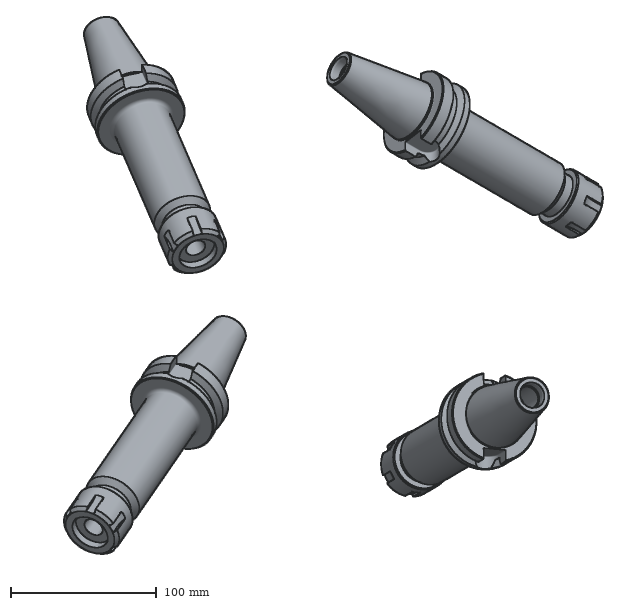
import cadquery as cq
import math

total_length = 223.5

gauge_dia = 44.5
gauge_x = 65.5
taper_ratio = 7 / 24
shank_end_dia = gauge_dia - taper_ratio * gauge_x
shank_end_chamfer = 0.7
relief_dia = 44.0
relief_length = 2.0
relief_fillet = 0.7

flange_dia = 63.0
flange_x = gauge_x + relief_length
flange_width = 25.0
flange_end_x = flange_x + flange_width
flange_chamfer = 0.7
groove_centre_x = 82.0
groove_floor_dia = 53.2
groove_floor_width = 4.5
groove_flank_angle = 30
groove_depth = (flange_dia - groove_floor_dia) / 2
groove_mouth_width = groove_floor_width + 2 * groove_depth * math.tan(math.radians(groove_flank_angle))

drive_slot_width = 16.5
drive_slot_floor_z = 22.5
drive_slot_end_x = 89.0
drive_slot_floor_fillet = 0.7

barrel_dia = 40.5
barrel_end_x = 187.2
barrel_root_fillet = 2.7
nose_dia = 32.0
shoulder_height = (barrel_dia - nose_dia) / 2

drawbar_bore_dia = 17.0
drawbar_bore_depth = 7.8
thread_bore_dia = 15.6
thread_bore_end_x = 33.5
drawbar_mouth_dia = 18.0
drawbar_mouth_depth = 1.8
through_bore_dia = 13.9

nut_dia = 42.0
nut_x = 198.4
nut_back_chamfer_length = 1.0
nut_back_chamfer_height = 1.0
nut_front_chamfer = 2.5
nut_mouth_dia = 26.8
nut_lip_length = 5.5
nose_end_x = total_length - nut_lip_length

spanner_slot_count = 6
spanner_slot_width = 6.0
spanner_slot_depth = 2.5
spanner_slot_x = 207.8
spanner_flat_x = 215.5
cut_clearance = 2.2

fillet_midpoint_ratio = 1 - math.sqrt(0.5)


def revolve_about_x(profile):
    """Turn a closed (x, radius) profile about the X axis."""
    return profile.close().revolve(360, (0, 0, 0), (1, 0, 0))


def make_holder_blank():
    """Shank, flange, barrel and nose as one turned solid."""
    shank_radius = shank_end_dia / 2
    flange_radius = flange_dia / 2
    barrel_radius = barrel_dia / 2
    groove_start_x = groove_centre_x - groove_mouth_width / 2
    groove_end_x = groove_centre_x + groove_mouth_width / 2
    barrel_fillet_lift = barrel_root_fillet * fillet_midpoint_ratio
    relief_fillet_lift = relief_fillet * fillet_midpoint_ratio
    profile = (
        cq.Workplane("XY")
        .moveTo(0, 0)
        .lineTo(0, shank_radius - shank_end_chamfer)
        .lineTo(shank_end_chamfer, shank_radius + taper_ratio * shank_end_chamfer / 2)
        .lineTo(gauge_x, gauge_dia / 2)
        .lineTo(gauge_x, relief_dia / 2)
        .lineTo(flange_x - relief_fillet, relief_dia / 2)
        .threePointArc(
            (flange_x - relief_fillet_lift, relief_dia / 2 + relief_fillet_lift),
            (flange_x, relief_dia / 2 + relief_fillet),
        )
        .lineTo(flange_x, flange_radius - flange_chamfer)
        .lineTo(flange_x + flange_chamfer, flange_radius)
        .lineTo(groove_start_x, flange_radius)
        .lineTo(groove_centre_x - groove_floor_width / 2, groove_floor_dia / 2)
        .lineTo(groove_centre_x + groove_floor_width / 2, groove_floor_dia / 2)
        .lineTo(groove_end_x, flange_radius)
        .lineTo(flange_end_x - flange_chamfer, flange_radius)
        .lineTo(flange_end_x, flange_radius - flange_chamfer)
        .lineTo(flange_end_x, barrel_radius + barrel_root_fillet)
        .threePointArc(
            (flange_end_x + barrel_fillet_lift, barrel_radius + barrel_fillet_lift),
            (flange_end_x + barrel_root_fillet, barrel_radius),
        )
        .lineTo(barrel_end_x, barrel_radius)
        .lineTo(barrel_end_x + shoulder_height, nose_dia / 2)
        .lineTo(nose_end_x, nose_dia / 2)
        .lineTo(nose_end_x, 0)
    )
    return revolve_about_x(profile)


def make_drive_slot():
    """Cutter for the +Z drive slot: flat floor, open to the shank side, round at the other end."""
    slot_radius = drive_slot_width / 2
    arc_centre_x = drive_slot_end_x - slot_radius
    start_x = flange_x - drive_slot_floor_fillet
    return (
        cq.Workplane("XY", origin=(0, 0, drive_slot_floor_z))
        .moveTo(start_x, -slot_radius)
        .lineTo(arc_centre_x, -slot_radius)
        .threePointArc((drive_slot_end_x, 0), (arc_centre_x, slot_radius))
        .lineTo(start_x, slot_radius)
        .close()
        .extrude(flange_dia / 2 - drive_slot_floor_z + cut_clearance)
        .faces("<Z")
        .edges("not <X")
        .fillet(drive_slot_floor_fillet)
    )


def make_holder_bore():
    """Cutter for the bore: a tapered mouth and a drawbar recess, then narrower bores right through."""
    thread_start_x = drawbar_bore_depth + (drawbar_bore_dia - thread_bore_dia) / 2
    profile = (
        cq.Workplane("XY")
        .moveTo(0, 0)
        .lineTo(0, drawbar_mouth_dia / 2)
        .lineTo(drawbar_mouth_depth, drawbar_bore_dia / 2)
        .lineTo(drawbar_bore_depth, drawbar_bore_dia / 2)
        .lineTo(thread_start_x, thread_bore_dia / 2)
        .lineTo(thread_bore_end_x, thread_bore_dia / 2)
        .lineTo(thread_bore_end_x, through_bore_dia / 2)
        .lineTo(nose_end_x, through_bore_dia / 2)
        .lineTo(nose_end_x, 0)
    )
    return revolve_about_x(profile)


def make_holder():
    """Tool holder with two opposite drive slots and a stepped bore right through."""
    holder = make_holder_blank()
    for angle in (0, 180):
        holder = holder.cut(make_drive_slot().rotate((0, 0, 0), (1, 0, 0), angle))
    return holder.cut(make_holder_bore())


def make_nut_blank():
    """Nut ring: bored to the nose diameter, with a narrower mouth in its front lip."""
    nut_radius = nut_dia / 2
    profile = (
        cq.Workplane("XY")
        .moveTo(nut_x, nose_dia / 2)
        .lineTo(nut_x, nut_radius - nut_back_chamfer_height)
        .lineTo(nut_x + nut_back_chamfer_length, nut_radius)
        .lineTo(total_length - nut_front_chamfer, nut_radius)
        .lineTo(total_length, nut_radius - nut_front_chamfer)
        .lineTo(total_length, nut_mouth_dia / 2)
        .lineTo(nose_end_x, nut_mouth_dia / 2)
        .lineTo(nose_end_x, nose_dia / 2)
    )
    return revolve_about_x(profile)


def make_spanner_slot():
    """Cutter for the +Z spanner slot: a flat floor that runs out to the rim along an arc."""
    runout_length = spanner_flat_x - spanner_slot_x
    runout_radius = (runout_length**2 + spanner_slot_depth**2) / (2 * spanner_slot_depth)
    floor_z = nut_dia / 2 - spanner_slot_depth
    mid_x = spanner_flat_x - runout_length / 2
    mid_z = floor_z + runout_radius - math.sqrt(runout_radius**2 - (runout_length / 2) ** 2)
    top_z = nut_dia / 2 + cut_clearance
    return (
        cq.Workplane("XZ")
        .moveTo(spanner_slot_x, nut_dia / 2)
        .threePointArc((mid_x, mid_z), (spanner_flat_x, floor_z))
        .lineTo(total_length + cut_clearance, floor_z)
        .lineTo(total_length + cut_clearance, top_z)
        .lineTo(spanner_slot_x, top_z)
        .close()
        .extrude(spanner_slot_width / 2, both=True)
    )


def make_nut():
    """Clamping nut with spanner slots spaced evenly around its rim."""
    nut = make_nut_blank()
    for index in range(spanner_slot_count):
        angle = index * 360 / spanner_slot_count
        nut = nut.cut(make_spanner_slot().rotate((0, 0, 0), (1, 0, 0), angle))
    return nut


holder = make_holder()
nut = make_nut()
result = cq.Compound.makeCompound([holder.val(), nut.val()])